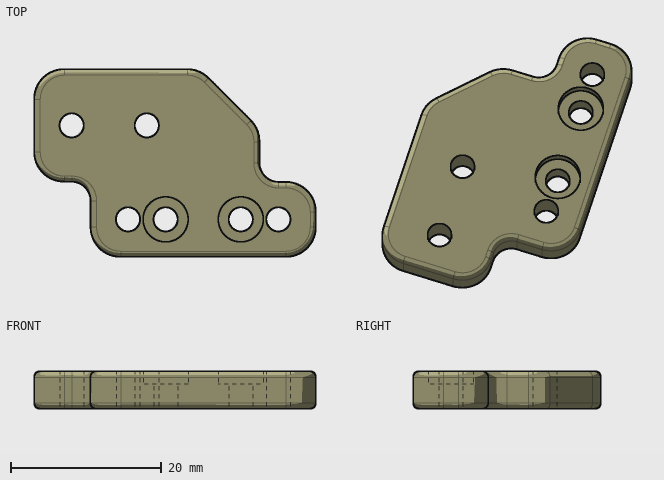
import cadquery as cq

length = 37.5
grid = length / 15
width = 10 * grid
thickness = 2 * grid

notch_x = 3 * grid
step_x = 12 * grid
step_y = 4 * grid
corner_cut = 8.0
outer_radius = 4.0
inner_radius = grid
edge_radius = 0.8

hole_diameter = 3.2
bore_diameter = 6.0
bore_depth = 1.7
lower_row_y = 2 * grid
upper_row_y = 7 * grid
plain_holes = [
    (2 * grid, upper_row_y),
    (6 * grid, upper_row_y),
    (5 * grid, lower_row_y),
    (13 * grid, lower_row_y),
]
bored_holes = [(7 * grid, lower_row_y), (11 * grid, lower_row_y)]


def vertical_edges_at(points):
    """Select the vertical edges standing on the given outline points."""
    tolerance = 0.05
    selector = None
    for x, y in points:
        box = cq.selectors.BoxSelector(
            (x - tolerance, y - tolerance, -tolerance),
            (x + tolerance, y + tolerance, thickness + tolerance),
        )
        selector = box if selector is None else selector + box
    return selector


inner_corners = [(notch_x, step_y), (step_x, step_y)]
outer_corners = [
    (notch_x, 0),
    (length, 0),
    (length, step_y),
    (step_x, width - corner_cut),
    (step_x - corner_cut, width),
    (0, width),
    (0, step_y),
]
outline = outer_corners[:3] + inner_corners[1:] + outer_corners[3:] + inner_corners[:1]
plate = cq.Workplane("XY").polyline(outline).close().extrude(thickness)

plate = plate.edges(vertical_edges_at(outer_corners)).fillet(outer_radius)
plate = plate.edges(vertical_edges_at(inner_corners)).fillet(inner_radius)
plate = plate.faces("<Z or >Z").edges().fillet(edge_radius)

top = cq.Workplane("XY", origin=(0, 0, thickness))
through_cuts = top.pushPoints(plain_holes + bored_holes).circle(hole_diameter / 2).extrude(-thickness)
bore_cuts = top.pushPoints(bored_holes).circle(bore_diameter / 2).extrude(-bore_depth)

result = plate.cut(through_cuts).cut(bore_cuts)